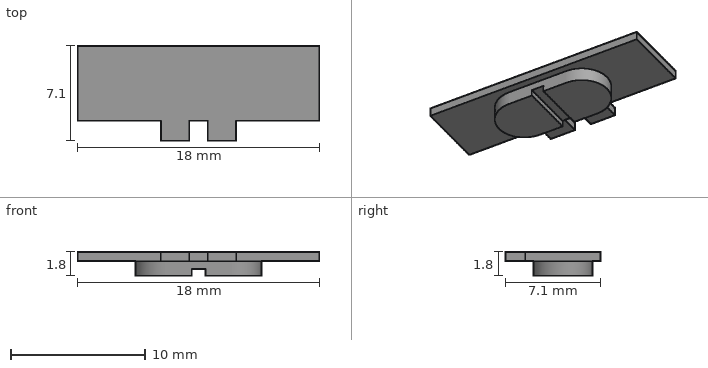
import cadquery as cq

plate_length = 18.0
plate_width = 5.6
plate_thickness = 0.7
tab_depth = 1.5
tabs_span = 5.6
tab_gap = 1.37
tab_width = (tabs_span - tab_gap) / 2
tab_offset = (tab_gap + tab_width) / 2

total_height = 1.8
boss_height = total_height - plate_thickness
boss_width = 4.41
boss_straight = 5.0
boss_length = boss_straight + boss_width
groove_width = 1.0
groove_depth = 0.5


def make_plate():
    """Rectangular plate with its underside on Z = 0."""
    plate = cq.Workplane("XY").box(
        plate_length, plate_width, plate_thickness, centered=(True, True, False)
    )
    for side in (-1, 1):
        tab = (
            cq.Workplane("XY")
            .box(tab_width, tab_depth, plate_thickness, centered=(True, False, False))
            .translate((side * tab_offset, -plate_width / 2 - tab_depth, 0))
        )
        plate = plate.union(tab)
    return plate


def make_boss():
    """Round-ended boss hanging below Z = 0, grooved from front to back."""
    boss = cq.Workplane("XY").slot2D(boss_length, boss_width).extrude(-boss_height)
    groove = (
        cq.Workplane("XY")
        .box(groove_width, boss_width, groove_depth, centered=(True, True, False))
        .translate((0, 0, -boss_height))
    )
    return boss.cut(groove)


result = make_plate().union(make_boss())